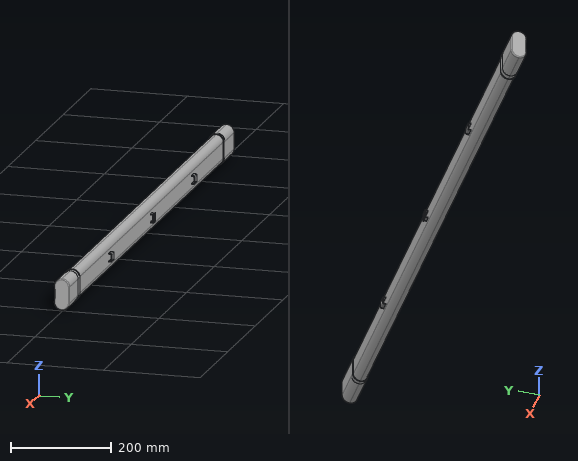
import cadquery as cq
import math

LENGTH = 1195.0
DEPTH = 37.0
HEIGHT = 66.0
CLIP_RISE = 5.0

CAP_LENGTH = 76.0
CAP_WALL = 1.5
CAP_EDGE_RADIUS = 2.2
SOCKET_DEPTH = 10.2
HOLLOW_RADIUS = 120.0

CLIP_WALL = 1.8
CLIP_SIZE_Z = 18.0
CLIP_RADIUS = 3.0
LOOP_WIDTH = 15.0
LOOP_SPACING = 300.0
CENTRE_PLATE_WIDTH = 18.0
CENTRE_PLATE_THICKNESS = 0.5
CENTRE_LEG_WIDTH = 12.0

CAP_DEPTH = DEPTH - CLIP_RISE
FRONT_Y = -DEPTH / 2
MIDDLE_Y = FRONT_Y + CAP_DEPTH / 2
TUBE_BACK_Y = FRONT_Y + CAP_DEPTH - CAP_WALL
CLIP_TOP_Y = DEPTH / 2
CAP_RADIUS = CAP_DEPTH / 2
ROUND_CENTRE_Z = HEIGHT / 2 - CAP_RADIUS
JOIN_ANGLE = math.asin(ROUND_CENTRE_Z / (CAP_RADIUS + HOLLOW_RADIUS))
HOLLOW_CENTRE_Y = MIDDLE_Y - (CAP_RADIUS + HOLLOW_RADIUS) * math.cos(JOIN_ANGLE)
SEAM_X = LENGTH / 2 - CAP_LENGTH
TUBE_END_X = SEAM_X + SOCKET_DEPTH


def bar(inset, start_x, end_x):
    """Bar along X with a flat back, round top and bottom and a hollow front, set in from the cap outline.

    Each round end is two arcs that meet at the crest; the front arc runs tangent into the hollow.
    """
    radius = CAP_RADIUS - inset
    back = MIDDLE_Y + radius
    crest = ROUND_CENTRE_Z + radius
    diagonal = radius * math.sqrt(0.5)
    round_z = ROUND_CENTRE_Z + diagonal
    join_y = MIDDLE_Y - radius * math.cos(JOIN_ANGLE)
    join_z = ROUND_CENTRE_Z - radius * math.sin(JOIN_ANGLE)
    hollow_y = HOLLOW_CENTRE_Y + HOLLOW_RADIUS + inset
    return (
        cq.Workplane("YZ", origin=(start_x, 0, 0))
        .moveTo(back, -ROUND_CENTRE_Z)
        .lineTo(back, ROUND_CENTRE_Z)
        .threePointArc((MIDDLE_Y + diagonal, round_z), (MIDDLE_Y, crest))
        .threePointArc((MIDDLE_Y - diagonal, round_z), (join_y, join_z))
        .threePointArc((hollow_y, 0), (join_y, -join_z))
        .threePointArc((MIDDLE_Y - diagonal, -round_z), (MIDDLE_Y, -crest))
        .threePointArc((MIDDLE_Y + diagonal, -round_z), (back, -ROUND_CENTRE_Z))
        .close()
        .extrude(end_x - start_x, clean=False)
    )


def rounded_block(width, foot_y, top_y, size_z, corner_radius):
    """Block centred on X = 0 and Z = 0, its two long top edges rounded."""
    return (
        cq.Workplane("XY")
        .box(width, top_y - foot_y, size_z)
        .translate((0, (foot_y + top_y) / 2, 0))
        .edges(">Y and |X")
        .fillet(corner_radius)
    )


def arch(width):
    """Round-shouldered arch standing on the back of the tube, centred on X = 0 and open along X."""
    inner_size_z = CLIP_SIZE_Z - 2 * CLIP_WALL
    inner_radius = CLIP_RADIUS - CLIP_WALL
    outside = rounded_block(width, TUBE_BACK_Y, CLIP_TOP_Y, CLIP_SIZE_Z, CLIP_RADIUS)
    opening = rounded_block(width, TUBE_BACK_Y, CLIP_TOP_Y - CLIP_WALL, inner_size_z, inner_radius)
    return outside.cut(opening)


def make_tube():
    """Tube with the two outer loops formed on its back."""
    tube = bar(CAP_WALL, -TUBE_END_X, TUBE_END_X)
    for x in (-LOOP_SPACING, LOOP_SPACING):
        tube = tube.union(arch(LOOP_WIDTH).translate((x, 0, 0)), clean=False)
    return tube


def make_cap(side):
    """End cap on the +X (side = 1) or -X (side = -1) end, with a socket for the tube."""
    blank = bar(0.0, SEAM_X, LENGTH / 2)
    end_edges = blank.faces(">X").edges().vals()
    rounded = cq.Workplane(blank.val().fillet(CAP_EDGE_RADIUS, end_edges))
    cap = rounded.cut(bar(CAP_WALL, SEAM_X, TUBE_END_X), clean=False)
    return cap if side > 0 else cap.mirror("YZ")


def make_centre_clip():
    """Middle clip: a narrow arch under a wider top plate."""
    plate = cq.Workplane("XY").box(CENTRE_PLATE_WIDTH, CENTRE_PLATE_THICKNESS, CLIP_SIZE_Z)
    plate = plate.translate((0, CLIP_TOP_Y - CENTRE_PLATE_THICKNESS / 2, 0))
    return arch(CENTRE_LEG_WIDTH).union(plate)


tube = make_tube()
caps = [make_cap(side) for side in (-1, 1)]
centre_clip = make_centre_clip()

result = cq.Compound.makeCompound([tube.val(), *[cap.val() for cap in caps], centre_clip.val()])